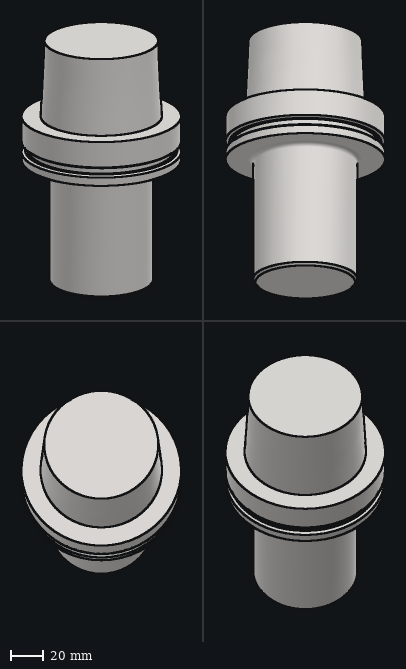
import cadquery as cq

total_height = 159.8
taper_height = 49.9
flange_height = 29.0
flange_top = total_height - taper_height
flange_bottom = flange_top - flange_height

flange_radius = 99.9 / 2
groove_radius = 91.9 / 2
shank_radius = 65.2 / 2
taper_base_radius = 76.0 / 2
taper_top_radius = 71.3 / 2

groove_top = flange_top - 18.0
groove_width = 4.2
groove_bottom = groove_top - groove_width
groove_chamfer_width = 2.2
groove_chamfer_height = 1.3

shank_chamfer_width = 1.5
shank_chamfer_height = 1.9
shank_root_fillet = 3.0


def revolved_about_z(profile):
    """Revolve a closed (radius, height) profile drawn on the XZ plane."""
    return profile.close().revolve(360, (0, 0, 0), (0, 1, 0))


shank = revolved_about_z(
    cq.Workplane("XZ")
    .lineTo(shank_radius - shank_chamfer_width, 0)
    .lineTo(shank_radius, shank_chamfer_height)
    .lineTo(shank_radius, flange_bottom - shank_root_fillet)
    .radiusArc((shank_radius + shank_root_fillet, flange_bottom), shank_root_fillet)
    .lineTo(0, flange_bottom)
)

flange = revolved_about_z(
    cq.Workplane("XZ")
    .moveTo(0, flange_bottom)
    .lineTo(flange_radius, flange_bottom)
    .lineTo(flange_radius, groove_bottom - groove_chamfer_height)
    .lineTo(flange_radius - groove_chamfer_width, groove_bottom)
    .lineTo(groove_radius, groove_bottom)
    .lineTo(groove_radius, groove_top)
    .lineTo(flange_radius - groove_chamfer_width, groove_top)
    .lineTo(flange_radius, groove_top + groove_chamfer_height)
    .lineTo(flange_radius, flange_top)
    .lineTo(0, flange_top)
)

taper = revolved_about_z(
    cq.Workplane("XZ")
    .moveTo(0, flange_top)
    .lineTo(taper_base_radius, flange_top)
    .lineTo(taper_top_radius, total_height)
    .lineTo(0, total_height)
)

result = shank.union(flange).union(taper)